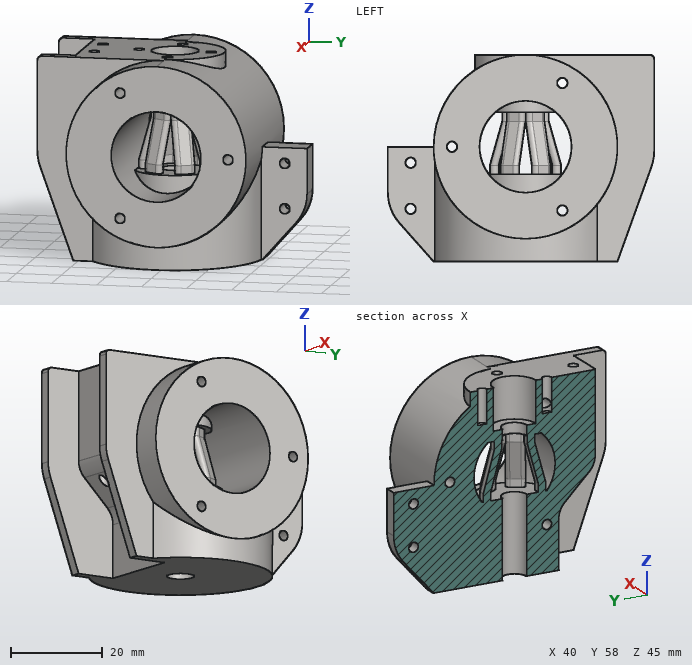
import cadquery as cq

overall_depth = 58

body_radius = 20.0
body_length = 2 * body_radius
base_z = -25.0
bore_radius = 10.0
small_hole_diameter = 2.2

end_hole_circle_radius = 16.0
end_hole_count = 3

bracket_width = 25.0
ear_thickness = 2.5
ear_front_y = -28.0
ear_foot_y = -body_radius
ear_bend_z = -2.7
ear_bend_radius = 10.0
ear_corner_radius = 1.0
recess_width = bracket_width - 2 * ear_thickness
undercut_y = -11
undercut_start_z = -2.0
undercut_end_z = undercut_start_z - (undercut_y + body_radius)
undercut_fillet = 5.0
bracket_hole_x = 4.5
bracket_hole_y = -17.0

fin_thickness = 6.0
fin_back_y = ear_front_y + overall_depth
fin_bend_z = -13.75
fin_bend_radius = 10.0
fin_hole_y = 25.0
fin_hole_zs = (-3.5, -13.5)

top_boss_radius = 11
top_boss_base_z = 11
upper_hub_radius = 6.8
upper_hub_z = 7.5
lower_hub_radius = 9.15
lower_hub_z = -6.0
shaft_hole_diameter = 6.0
socket_diameter = 10.4
socket_depth = 10.0
boss_hole_circle_radius = 8.0
boss_hole_count = 4
boss_hole_depth = 8.0

strut_count = 6
strut_thickness = 2.0
strut_width = 4.45
strut_upper_radius = 4.1
strut_lower_radius = 6.8
strut_straight_end = 2.0


def cylinder_x(radius, length):
    """Cylinder on the X axis, centred on the origin, with its seam line along the top."""
    cylinder = cq.Workplane("YZ", origin=(-length / 2, 0, 0)).circle(radius).extrude(length)
    return cylinder.rotate((0, 0, 0), (1, 0, 0), 90)


def cylinder_z(radius, z_low, z_high):
    """Cylinder on the Z axis between two heights."""
    return cq.Workplane("XY").workplane(offset=z_low).circle(radius).extrude(z_high - z_low)


def plate_x(outline, thickness):
    """Plate with a (y, z) outline, centred on X = 0."""
    return cq.Workplane("YZ", origin=(-thickness / 2, 0, 0)).polyline(outline).close().extrude(thickness)


def edge_near(y, z):
    """Selector for the edge whose middle is nearest to (0, y, z)."""
    return cq.selectors.NearestToPointSelector((0, y, z))


def fillet_edge(solid, y, z, radius):
    return solid.edges("|X").edges(edge_near(y, z)).fillet(radius)


def make_bracket():
    outline = [
        (0, body_radius),
        (ear_front_y, body_radius),
        (ear_front_y, ear_bend_z),
        (ear_foot_y, base_z),
        (0, base_z),
    ]
    bracket = plate_x(outline, bracket_width)
    bracket = fillet_edge(bracket, ear_front_y, body_radius, ear_corner_radius)
    return fillet_edge(bracket, ear_front_y, ear_bend_z, ear_bend_radius)


def make_recess():
    """Space between the ears, with a sloping undercut below the block."""
    outline = [
        (ear_front_y, body_radius),
        (-body_radius, body_radius),
        (-body_radius, undercut_start_z),
        (undercut_y, undercut_end_z),
        (undercut_y, base_z),
        (ear_front_y, base_z),
    ]
    recess = plate_x(outline, recess_width)
    recess = fillet_edge(recess, -body_radius, undercut_start_z, undercut_fillet)
    return fillet_edge(recess, undercut_y, undercut_end_z, undercut_fillet)


def make_fin():
    outline = [
        (0, 0),
        (fin_back_y, 0),
        (fin_back_y, fin_bend_z),
        (body_radius, base_z),
        (0, base_z),
    ]
    fin = plate_x(outline, fin_thickness)
    return fillet_edge(fin, fin_back_y, fin_bend_z, fin_bend_radius)


def make_strut():
    """Strut on the +Y side: straight ends with a leaning middle."""
    upper_bend_z = upper_hub_z - strut_straight_end
    lower_bend_z = lower_hub_z + strut_straight_end

    def section(z, radius):
        plane = cq.Workplane("XY", origin=(0, radius, z))
        return plane.slot2D(strut_width, strut_thickness)

    upper_end = section(upper_bend_z, strut_upper_radius).extrude(strut_straight_end)
    lower_end = section(lower_hub_z, strut_lower_radius).extrude(strut_straight_end)
    middle = (
        section(lower_bend_z, strut_lower_radius)
        .center(0, strut_upper_radius - strut_lower_radius)
        .workplane(offset=upper_bend_z - lower_bend_z)
        .slot2D(strut_width, strut_thickness)
        .loft(ruled=True)
    )
    return lower_end.union(middle).union(upper_end)


body = cylinder_z(body_radius, base_z, 0)
body = body.union(cylinder_x(body_radius, body_length))
body = body.union(make_bracket())
body = body.union(make_fin())
body = body.cut(make_recess())
body = body.cut(cylinder_x(bore_radius, body_length))
body = body.union(cylinder_z(top_boss_radius, top_boss_base_z, body_radius))

body = body.union(cylinder_z(upper_hub_radius, upper_hub_z, body_radius))
body = body.union(cylinder_z(lower_hub_radius, base_z, lower_hub_z))
strut = make_strut()
for index in range(strut_count):
    body = body.union(strut.rotate((0, 0, 0), (0, 0, 1), index * 360 / strut_count))

body = body.cut(cylinder_z(shaft_hole_diameter / 2, base_z, body_radius))
body = body.cut(cylinder_z(socket_diameter / 2, body_radius - socket_depth, body_radius))

boss_holes = (
    cq.Workplane("XY")
    .workplane(offset=body_radius - boss_hole_depth)
    .polarArray(boss_hole_circle_radius, 0, 360, boss_hole_count)
    .circle(small_hole_diameter / 2)
    .extrude(boss_hole_depth)
)
body = body.cut(boss_holes)

end_holes = (
    cq.Workplane("YZ")
    .polarArray(end_hole_circle_radius, 0, 360, end_hole_count)
    .circle(small_hole_diameter / 2)
    .extrude(body_length / 2, both=True)
)
body = body.cut(end_holes)

bracket_holes = (
    cq.Workplane("XY")
    .workplane(offset=undercut_end_z)
    .pushPoints([(-bracket_hole_x, bracket_hole_y), (bracket_hole_x, bracket_hole_y)])
    .circle(small_hole_diameter / 2)
    .extrude(body_radius - undercut_end_z)
)
body = body.cut(bracket_holes)

fin_holes = (
    cq.Workplane("YZ")
    .pushPoints([(fin_hole_y, z) for z in fin_hole_zs])
    .circle(small_hole_diameter / 2)
    .extrude(fin_thickness / 2, both=True)
)
result = body.cut(fin_holes)